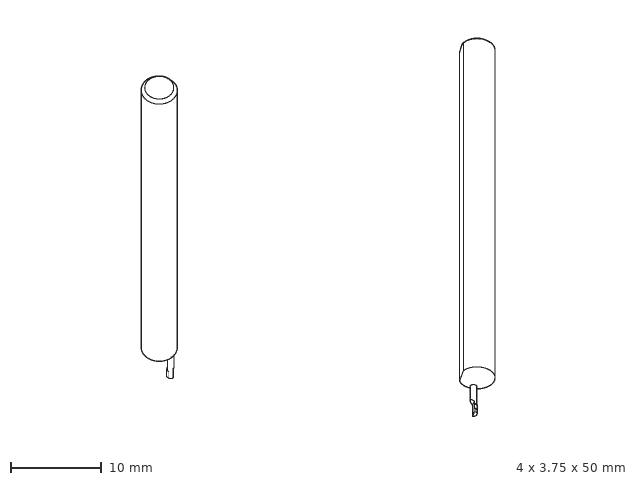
import cadquery as cq

total_length = 50
shank_radius = 2
shank_bottom = 4
flat_offset = 1.75
top_chamfer = 0.4

neck_radius = 0.375
neck_x = shank_radius - neck_radius
neck_bottom = 0.15
overlap = 0.5

rake_top = 1.7
runout_rise = 0.35

head_left = 1.1
head_top = 1.3
tip_left = 1
tip_top = 0.6
head_back_left = 1.3
nose_run = 0.15


def make_shank():
    """Round bar with a chamfered top and a full-length flat on +Y."""
    bar = (
        cq.Workplane("XY", origin=(0, 0, shank_bottom))
        .circle(shank_radius)
        .extrude(total_length - shank_bottom)
        .faces(">Z")
        .chamfer(top_chamfer)
    )
    beyond_flat = cq.Workplane("XY").box(
        2 * shank_radius, shank_radius, total_length, centered=(True, False, False)
    ).translate((0, flat_offset, 0))
    return bar.cut(beyond_flat)


def make_neck():
    """Slim round neck whose lower end is cut back to its mid plane."""
    neck = (
        cq.Workplane("XY", origin=(neck_x, 0, neck_bottom))
        .circle(neck_radius)
        .extrude(shank_bottom + overlap - neck_bottom)
    )
    rake_cut = (
        cq.Workplane("YZ")
        .moveTo(0, 0)
        .lineTo(0, rake_top)
        .lineTo(neck_radius, rake_top + runout_rise)
        .lineTo(2 * neck_radius, rake_top + runout_rise)
        .lineTo(2 * neck_radius, 0)
        .close()
        .extrude(shank_radius)
    )
    return neck.cut(rake_cut)


def make_head_block(left, bottom, top):
    """Block below the rake face, with a side face leaning away from the cutting edge."""
    return (
        cq.Workplane("XY", origin=(0, 0, bottom))
        .moveTo(left, 0)
        .lineTo(neck_x, 0)
        .lineTo(neck_x, -neck_radius)
        .lineTo(head_back_left, -neck_radius)
        .close()
        .extrude(top - bottom)
    )


def make_head():
    """Upper block plus a protruding tip that ends in a sharp lower corner."""
    upper = make_head_block(head_left, neck_bottom, head_top)
    tip = make_head_block(tip_left, 0, tip_top)
    under_tip = (
        cq.Workplane("XZ")
        .moveTo(tip_left, 0)
        .lineTo(tip_left + nose_run, neck_bottom)
        .lineTo(neck_x, neck_bottom)
        .lineTo(neck_x, 0)
        .close()
        .extrude(neck_radius)
    )
    return upper.union(tip.cut(under_tip))


result = make_shank().union(make_neck()).union(make_head())